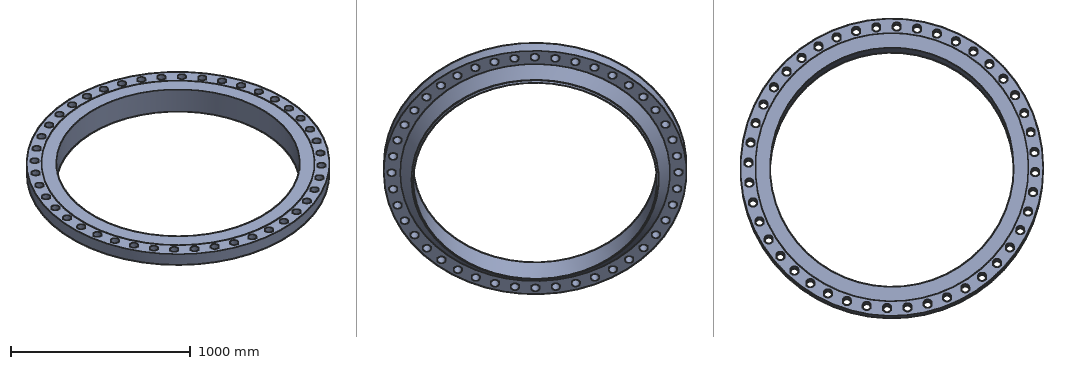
import cadquery as cq


flange_diameter = 1683.0
raised_face_diameter = 1518.0
bolt_circle_diameter = 1594.0
bolt_hole_diameter = 47.0
bore_diameter = 1353.0
weld_end_diameter = 1375.0
weld_land_diameter = 1356.0
hub_base_diameter = 1500.0

total_height = 155.0
raised_face_height = 2.0
flange_thickness = 75.0
weld_bevel_height = 10.0
weld_collar_height = 5.0

bolt_count = 44

collar_top = weld_bevel_height + weld_collar_height
flange_top = total_height - raised_face_height
flange_bottom = flange_top - flange_thickness


def make_ring():
    """Revolve the half section of the flange, hub and weld end about Z."""
    section = [
        (bore_diameter / 2, 0),
        (weld_land_diameter / 2, 0),
        (weld_end_diameter / 2, weld_bevel_height),
        (weld_end_diameter / 2, collar_top),
        (hub_base_diameter / 2, flange_bottom),
        (flange_diameter / 2, flange_bottom),
        (flange_diameter / 2, flange_top),
        (raised_face_diameter / 2, flange_top),
        (raised_face_diameter / 2, total_height),
        (bore_diameter / 2, total_height),
    ]
    return cq.Workplane("XZ").polyline(section).close().revolve(360, (0, 0), (0, 1))


def make_bolt_holes():
    """Cylinders on the bolt circle, first one on +X, passing through the flange."""
    return (
        cq.Workplane("XY", origin=(0, 0, flange_bottom))
        .polarArray(bolt_circle_diameter / 2, 0, 360, bolt_count)
        .circle(bolt_hole_diameter / 2)
        .extrude(flange_thickness)
    )


result = make_ring().cut(make_bolt_holes())